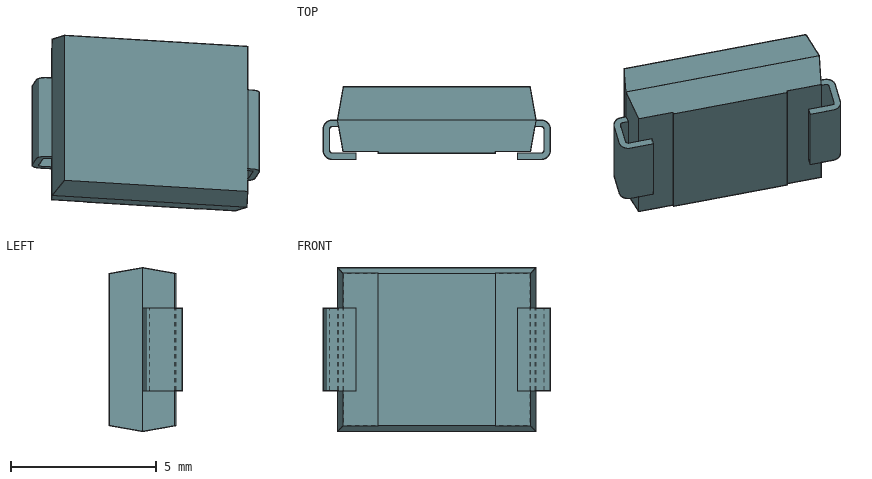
import cadquery as cq
import math

overall_length = 7.79
overall_depth = 2.5

housing_length = 6.81
housing_height = 5.62
half_depth = 1.145
draft_angle = 10.0
belly_length = 4.01
recess_depth = 0.06

lead_width = 2.835
lead_thickness = 0.225
bend_radius = 0.32
inner_bend_radius = bend_radius - lead_thickness
foot_length = 1.14

outer_x = overall_length / 2
foot_y = half_depth - overall_depth
recess_floor_y = recess_depth - half_depth
end_x = housing_length / 2


def make_half(direction):
    """Half housing that tapers away from the parting plane along direction (+1 or -1) in Y."""
    plane = cq.Plane(origin=(0, 0, 0), xDir=(1, 0, 0), normal=(0, direction, 0))
    return cq.Workplane(plane).rect(housing_length, housing_height).extrude(half_depth, taper=draft_angle)


def make_end_recess(side):
    """Cutter for the shallow step at one end (side = +1 or -1) of the mounting face."""
    recess_length = (housing_length - belly_length) / 2
    return (
        cq.Workplane("XY")
        .box(recess_length, recess_depth, housing_height)
        .translate((
            side * (belly_length + recess_length) / 2,
            recess_floor_y - recess_depth / 2,
            0,
        ))
    )


def make_housing():
    body = make_half(1).union(make_half(-1))
    for side in (-1, 1):
        body = body.cut(make_end_recess(side))
    return body.solids()


def make_lead():
    """Lead on the +X end; its upper arm butts against the tapered end wall."""
    foot_x = outer_x - foot_length
    inner_x = outer_x - lead_thickness
    foot_top_y = foot_y + lead_thickness
    arm_inset = lead_thickness * math.tan(math.radians(draft_angle))
    outline = (
        cq.Workplane("XY", origin=(0, 0, -lead_width / 2))
        .moveTo(end_x, 0)
        .lineTo(outer_x - bend_radius, 0)
        .radiusArc((outer_x, -bend_radius), bend_radius)
        .lineTo(outer_x, foot_y + bend_radius)
        .radiusArc((outer_x - bend_radius, foot_y), bend_radius)
        .lineTo(foot_x, foot_y)
        .lineTo(foot_x, foot_top_y)
        .lineTo(inner_x - inner_bend_radius, foot_top_y)
        .radiusArc((inner_x, foot_top_y + inner_bend_radius), -inner_bend_radius)
        .lineTo(inner_x, -lead_thickness - inner_bend_radius)
        .radiusArc((inner_x - inner_bend_radius, -lead_thickness), -inner_bend_radius)
        .lineTo(end_x - arm_inset, -lead_thickness)
        .close()
    )
    return outline.extrude(lead_width)


housing = make_housing()
leads = []
for turn in (0, 180):
    leads.append(make_lead().rotate((0, 0, 0), (0, 1, 0), turn))

result = cq.Compound.makeCompound([housing.val(), *[lead.val() for lead in leads]])